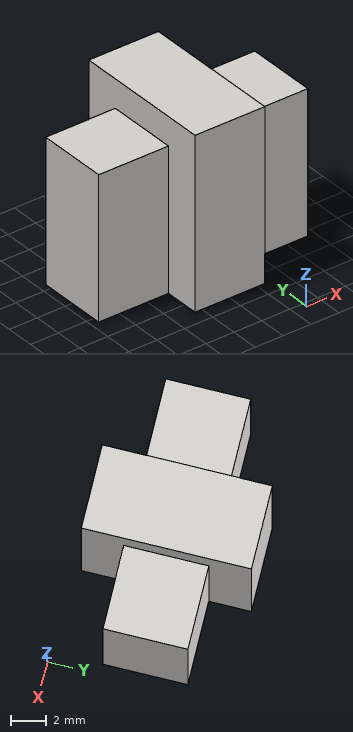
import cadquery as cq

total_length = 15.0
plate_height = 12.0
arm_height = plate_height * 5 / 6

plate_thickness = total_length / 3
plate_width = 2 * plate_thickness
arm_width = plate_thickness


def block(length, width, height):
    """Box centred in X and Y, standing on the Z = 0 base plane."""
    return cq.Workplane("XY").box(length, width, height, centered=(True, True, False))


plate = block(plate_thickness, plate_width, plate_height)

arms = block(total_length, arm_width, arm_height)

result = plate.union(arms)